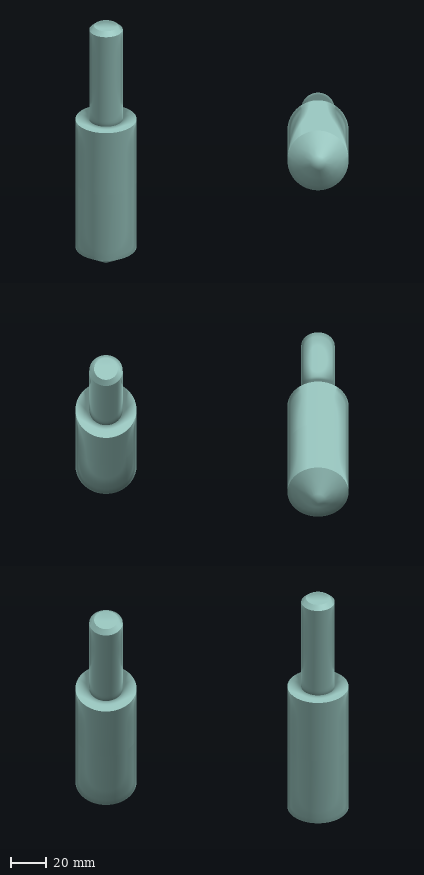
import cadquery as cq

total_height = 152.4
body_diameter = 34.7
shank_diameter = 19.0

cone_height = 10.5
joint_height = 52.7
shoulder_height = 92.5

bevel_width = 2.7
bevel_height = 2.5

body_radius = body_diameter / 2
shank_radius = shank_diameter / 2


def make_tip():
    """Lower cylinder ending in a conical point."""
    profile = (
        cq.Workplane("XZ")
        .moveTo(0, 0)
        .lineTo(body_radius, cone_height)
        .lineTo(body_radius, joint_height)
        .lineTo(0, joint_height)
        .close()
    )
    return profile.revolve(360, (0, 0, 0), (0, 1, 0))


def make_holder():
    """Upper cylinder with a narrower shank, bevelled at its top end."""
    profile = (
        cq.Workplane("XZ")
        .moveTo(0, joint_height)
        .lineTo(body_radius, joint_height)
        .lineTo(body_radius, shoulder_height)
        .lineTo(shank_radius, shoulder_height)
        .lineTo(shank_radius, total_height - bevel_height)
        .lineTo(shank_radius - bevel_width, total_height)
        .lineTo(0, total_height)
        .close()
    )
    return profile.revolve(360, (0, 0, 0), (0, 1, 0))


tip = make_tip()
holder = make_holder()

result = cq.Compound.makeCompound([tip.val(), holder.val()])